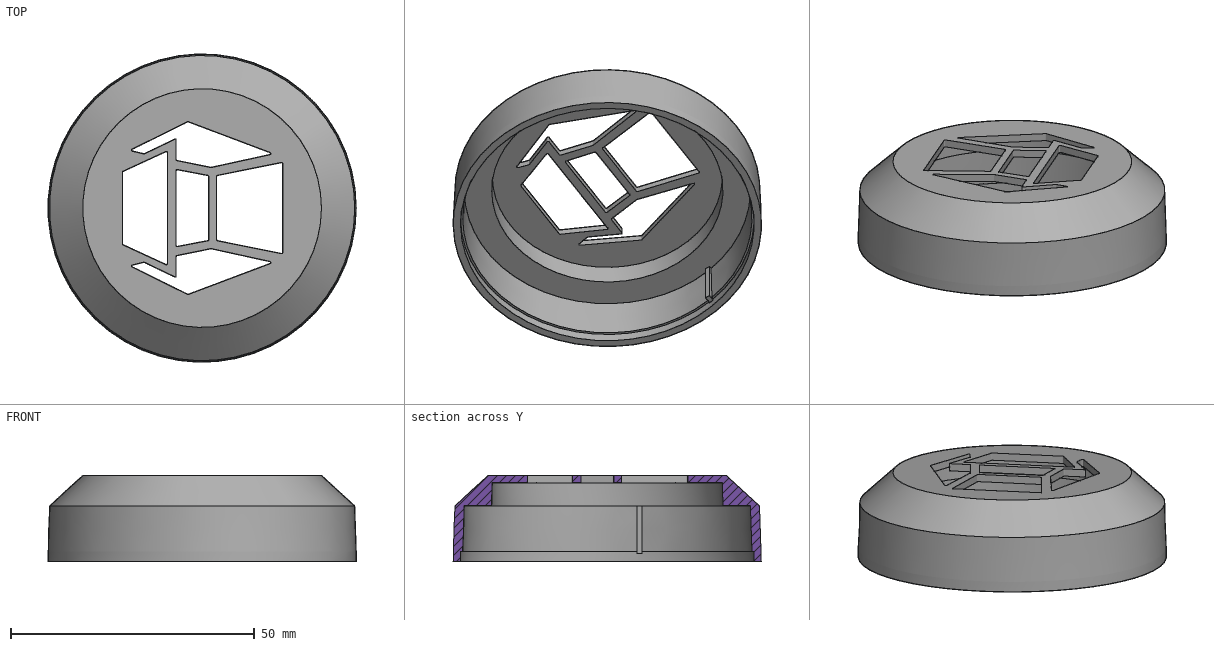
import cadquery as cq

BASE_RADIUS = 31.7
HEIGHT = 17.75
RIM_HEIGHT = 2.1
SHOULDER_RADIUS = 31.4
SHOULDER_HEIGHT = 11.5
TOP_RADIUS = 24.55

RIM_BORE_RADIUS = 30.2
BORE_RADIUS = 29.75
BORE_TOP_RADIUS = BORE_RADIUS - (BASE_RADIUS - SHOULDER_RADIUS)
WELL_RADIUS = 23.8
WELL_TOP_RADIUS = 23.65
ROOF_THICKNESS = 1.5
ROOF_UNDERSIDE = HEIGHT - ROOF_THICKNESS

RIB_LEFT = 6.15
RIB_THICKNESS = 1.0
RIB_FACE_Y = 28.0
RIB_BOTTOM = 1.7

FRONT_LEFT = -16.35
FRONT_RIGHT = -7.15
FRONT_LEFT_HALF = 7.5
FRONT_RIGHT_HALF = 11.75
POST_RIGHT = -5.3
MIDDLE_RIGHT = 1.35
MIDDLE_LEFT_HALF = 7.9
BACK_LEFT = 3.0
BACK_RIGHT = 16.55
BACK_LEFT_HALF = 6.65
BACK_RIGHT_HALF = 9.4
PANE_CORNER_RADIUS = 0.2

SLOPING_PANE = [
    (-2.9, 17.75),
    (14.6, 11.15),
    (1.85, 8.4),
    (POST_RIGHT, 9.8),
    (POST_RIGHT, 14.35),
    (-11.9, 11.15),
    (-14.85, 11.85),
]


def revolve_profile(points):
    """Turn an (r, z) outline around the Z axis."""
    return cq.Workplane("XZ").polyline(points).close().revolve(360, (0, 0), (0, 1))


def upright_pane(left, right, left_half, right_half):
    """Outline of a trapezoid with two sides parallel to Y."""
    return [(left, -left_half), (left, left_half), (right, right_half), (right, -right_half)]


def cut_pane(body, points):
    """Cut an outline with slightly rounded corners straight through the roof."""
    pane = cq.Workplane("XY").polyline(points).close().extrude(HEIGHT)
    return body.cut(pane.edges("|Z").fillet(PANE_CORNER_RADIUS))


outer = revolve_profile([
    (0, 0),
    (BASE_RADIUS, 0),
    (BASE_RADIUS, RIM_HEIGHT),
    (SHOULDER_RADIUS, SHOULDER_HEIGHT),
    (TOP_RADIUS, HEIGHT),
    (0, HEIGHT),
])
cavity = revolve_profile([
    (0, 0),
    (RIM_BORE_RADIUS, 0),
    (RIM_BORE_RADIUS, RIM_HEIGHT),
    (BORE_RADIUS, RIM_HEIGHT),
    (BORE_TOP_RADIUS, SHOULDER_HEIGHT),
    (WELL_RADIUS, SHOULDER_HEIGHT),
    (WELL_TOP_RADIUS, ROOF_UNDERSIDE),
    (0, ROOF_UNDERSIDE),
])

rib = cq.Workplane("XY", origin=(RIB_LEFT, RIB_FACE_Y, RIB_BOTTOM)).box(
    RIB_THICKNESS,
    RIM_BORE_RADIUS - RIB_FACE_Y,
    SHOULDER_HEIGHT - RIB_BOTTOM,
    centered=False,
)
result = outer.cut(cavity).union(rib)

panes = [
    upright_pane(FRONT_LEFT, FRONT_RIGHT, FRONT_LEFT_HALF, FRONT_RIGHT_HALF),
    upright_pane(POST_RIGHT, MIDDLE_RIGHT, MIDDLE_LEFT_HALF, BACK_LEFT_HALF),
    upright_pane(BACK_LEFT, BACK_RIGHT, BACK_LEFT_HALF, BACK_RIGHT_HALF),
    SLOPING_PANE,
    [(x, -y) for x, y in SLOPING_PANE],
]
for outline in panes:
    result = cut_pane(result, outline)